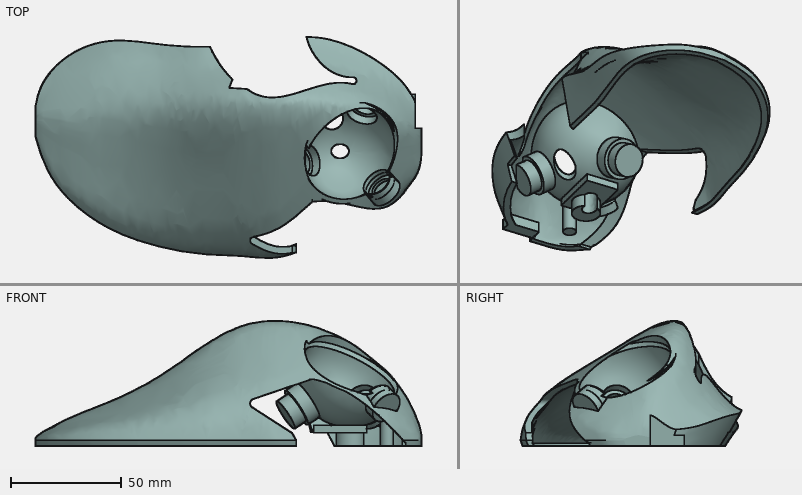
import cadquery as cq
import math

LENGTH = 175.3
WALL = 2.5
RIM_HEIGHT = 2.7
RIM_INSET = 1.0
CAVITY_RIM_HEIGHT = RIM_HEIGHT / 2
MIN_CAVITY_RISE = 1.0
MIN_THUMB_EDGE_Z = 0.8
THUMB_EDGE = 100.3
CLEARANCE = 20.0
BELOW_PART = -1.0
ABOVE_PART = 80.0

SECTIONS = [
    (0.0, 55.0, 62.0, 3.6, 69.0, 3.0, 0.5),
    (1.6, 49.5, 62.5, 5.4, 75.5, 3.0, 0.5),
    (6.0, 39.0, 63.0, 8.0, 83.5, 3.0, 0.5),
    (16.0, 26.0, 64.0, 13.0, 92.5, 4.5, 2.0),
    (35.0, 12.7, 67.0, 20.6, 98.7, 8.5, 6.0),
    (57.0, 5.0, 69.0, 31.8, 97.0, 13.5, 7.0),
    (78.0, 1.6, 71.0, 46.0, 96.0, 22.0, 6.0),
    (93.0, 0.9, 72.5, 53.7, 97.0, 22.0, 7.0),
    (111.0, 0.4, 73.0, 56.28, 99.2, 19.0, 8.5),
    (125.0, 5.0, 72.0, 54.3, 100.4, 16.0, 9.0),
    (145.0, 11.0, 69.0, 45.4, 95.2, 14.0, 7.0),
    (160.0, 21.0, 64.0, 33.3, 86.0, 11.0, 5.0),
    (170.5, 34.0, 59.0, 18.5, 74.5, 8.0, 3.0),
    (LENGTH, 47.0, 53.5, 5.0, 60.0, 4.0, 1.0),
]
ARM_TIP_X = 118.5

FLANK_POINTS = ((0.11, 0.33), (0.32, 0.555), (0.64, 0.82))
THUMB_MID_Y = 0.5
THUMB_MID_Z = 0.45

CUP_CENTRE = cq.Vector(142.7, 48.0, 33.5)
CUP_AXIS = cq.Vector(0.43, -0.30, 0.85)
BALL_RADIUS = 22.5
CUP_RADIUS = BALL_RADIUS + WALL
LIP_FLARE = 2.0
LIP_RISE = 2.5

SOCKET_ANGLES = (72, 192)
NOSE_SOCKET_ANGLE = 312
SOCKET_DROP = 33
SOCKET_RADIUS = 7.5
SOCKET_BORE = 5.0
SOCKET_COLLAR_RADIUS = 9.3
SOCKET_COLLAR_END = 29.5
SOCKET_END = 35.5
NOSE_SOCKET_END = 29.5
SOCKET_RECESS_RADIUS = 7.0
SOCKET_RECESS_DEPTH = 3.0

SENSOR_WINDOW = (8.0, 6.5)
SENSOR_XY = (138.3, 48.5)
FLANGE_SIZE = (24.0, 16.0)
FLANGE_BOTTOM = 6.0
FLANGE_TOP = 9.5
BOSS_XY = (142.5, 48.0)
BOSS_RADIUS = 6.5
SIDE_WINDOW_XY = (134.6, 63.4)
SIDE_WINDOW_RADIUS = 5.0

POST_XY = (159.5, 47.0)
POST_RADIUS = 3.0
POST_HEIGHT = 17.0

NOTCH_X = 172.5
NOTCH_Y = (59.0, 74.4)
CABLE_LEDGE_DEPTH = 6.0
CABLE_LEDGE_HEIGHT = 5.0


def section_wire(section, inset):
    x, outer_y, crest_y, crest_z, thumb_y, thumb_z, undercut = section
    x = inset + x * (LENGTH - 2 * inset) / LENGTH
    outer_y += inset
    thumb_y -= inset
    rise = max(crest_z - inset - RIM_HEIGHT, MIN_CAVITY_RISE)
    thumb_z = max(thumb_z - inset, MIN_THUMB_EDGE_Z)
    foot_z = CAVITY_RIM_HEIGHT if inset else RIM_HEIGHT
    crest_z = foot_z + rise
    crest_span = crest_y - outer_y
    flank = [(outer_y + across * crest_span, foot_z + up * rise) for across, up in FLANK_POINTS]
    thumb_mid = (
        crest_y + THUMB_MID_Y * (thumb_y - crest_y),
        thumb_z + THUMB_MID_Z * (crest_z - thumb_z),
    )
    curve = flank + [(crest_y, crest_z), thumb_mid, (thumb_y, thumb_z)]
    return (
        cq.Workplane("YZ", origin=(x, 0, 0))
        .moveTo(thumb_y - undercut, 0)
        .lineTo(outer_y + RIM_INSET, 0)
        .lineTo(outer_y, foot_z)
        .spline(curve, includeCurrent=True)
        .close()
        .val()
    )


def skin(inset):
    return cq.Workplane(cq.Solid.makeLoft([section_wire(s, inset) for s in SECTIONS]))


def outer_side_cutout():
    depth = CUP_CENTRE.y - 2
    return (
        cq.Workplane("XZ", origin=(0, depth, 0))
        .moveTo(ARM_TIP_X, BELOW_PART)
        .lineTo(ARM_TIP_X, RIM_HEIGHT)
        .lineTo(116.5, 6)
        .lineTo(98.7, 17.5)
        .threePointArc((97.5, 19.5), (98.7, 21.3))
        .lineTo(125.7, 30.5)
        .spline([(144.6, 22.6), (160.5, 9.4), (168, 1.5)], includeCurrent=True)
        .lineTo(168, BELOW_PART)
        .close()
        .extrude(depth + CLEARANCE)
    )


def thumb_side_cutout():
    outside = THUMB_EDGE + CLEARANCE
    return (
        cq.Workplane("XY")
        .moveTo(79.2, outside)
        .lineTo(79.2, 96)
        .spline([(84, 87.5), (89.5, 81)], includeCurrent=True)
        .lineTo(88, 77.3)
        .lineTo(96, 76.8)
        .spline([(106, 73), (125, 77), (144, 79)], includeCurrent=True)
        .threePointArc((145.7, 80.5), (144.5, 82))
        .spline([(134.6, 84.5), (126.7, 92), (123, THUMB_EDGE)], includeCurrent=True)
        .lineTo(123, outside)
        .close()
        .extrude(ABOVE_PART)
    )


def wing_relief():
    return (
        cq.Workplane("XZ", origin=(0, THUMB_EDGE + CLEARANCE, 0))
        .polyline([(118, BELOW_PART), (118, 6.5), (132.5, 6.2), (135.7, 0), (135.7, BELOW_PART)])
        .close()
        .extrude(THUMB_EDGE + CLEARANCE - CUP_CENTRE.y)
    )


def cup_body(radius):
    ball = cq.Workplane("XY").sphere(radius).translate(CUP_CENTRE)
    mouth = cq.Solid.makeCylinder(radius, CUP_RADIUS, CUP_CENTRE, CUP_AXIS)
    return ball.union(cq.Workplane(mouth))


def cup_outside(outer_skin):
    return cup_body(CUP_RADIUS).intersect(outer_skin)


def cup_inside():
    flare = cq.Solid.makeCone(
        BALL_RADIUS, BALL_RADIUS + LIP_FLARE, LIP_RISE, CUP_CENTRE, CUP_AXIS
    )
    return cup_body(BALL_RADIUS).union(cq.Workplane(flare))


def socket_cylinder(angle, radius, start, end):
    heading = math.radians(angle)
    drop = math.radians(SOCKET_DROP)
    direction = cq.Vector(
        math.cos(heading) * math.cos(drop), math.sin(heading) * math.cos(drop), -math.sin(drop)
    )
    base = CUP_CENTRE + direction * start
    return cq.Workplane(cq.Solid.makeCylinder(radius, end - start, base, direction))


def socket_body(angle, end):
    return socket_cylinder(angle, SOCKET_RADIUS, BALL_RADIUS - WALL, end)


def socket_collar(angle):
    return socket_cylinder(angle, SOCKET_COLLAR_RADIUS, BALL_RADIUS - WALL, SOCKET_COLLAR_END)


def socket_bore(angle, end):
    start = BALL_RADIUS - 2 * WALL
    recess_end = BALL_RADIUS + SOCKET_RECESS_DEPTH
    bore = socket_cylinder(angle, SOCKET_BORE, start, end - WALL)
    return bore.union(socket_cylinder(angle, SOCKET_RECESS_RADIUS, start, recess_end))


def socket_bodies():
    bodies = socket_body(NOSE_SOCKET_ANGLE, NOSE_SOCKET_END)
    for angle in SOCKET_ANGLES:
        bodies = bodies.union(socket_body(angle, SOCKET_END)).union(socket_collar(angle))
    return bodies


def socket_bores():
    bores = socket_bore(NOSE_SOCKET_ANGLE, NOSE_SOCKET_END)
    for angle in SOCKET_ANGLES:
        bores = bores.union(socket_bore(angle, SOCKET_END))
    return bores


def sensor_mount():
    flange = (
        cq.Workplane("XY", origin=(*SENSOR_XY, FLANGE_BOTTOM))
        .rect(*FLANGE_SIZE)
        .extrude(FLANGE_TOP - FLANGE_BOTTOM)
    )
    boss = cq.Workplane("XY").center(*BOSS_XY).circle(BOSS_RADIUS).extrude(FLANGE_TOP)
    return flange.union(boss)


def cup_windows():
    sensor = cq.Workplane("XY").center(*SENSOR_XY).ellipse(SENSOR_WINDOW[0] / 2, SENSOR_WINDOW[1] / 2)
    side = cq.Workplane("XY").center(*SIDE_WINDOW_XY).circle(SIDE_WINDOW_RADIUS)
    return sensor.extrude(CUP_CENTRE.z).union(side.extrude(CUP_CENTRE.z))


def support_post():
    return cq.Workplane("XY").center(*POST_XY).circle(POST_RADIUS).extrude(POST_HEIGHT)


def cable_block(x_start, x_end, height):
    near, far = NOTCH_Y
    return cq.Workplane("XY").box(x_end - x_start, far - near, height, centered=False).translate(
        (x_start, near, 0)
    )


outer_skin = skin(0)
result = (
    outer_skin.cut(skin(WALL))
    .cut(outer_side_cutout())
    .cut(thumb_side_cutout())
    .cut(wing_relief())
    .cut(cable_block(NOTCH_X, LENGTH + CLEARANCE, ABOVE_PART))
    .union(cable_block(NOTCH_X - CABLE_LEDGE_DEPTH, NOTCH_X, CABLE_LEDGE_HEIGHT))
    .union(cup_outside(outer_skin))
    .union(socket_bodies())
    .union(sensor_mount())
    .union(support_post())
    .cut(cup_inside())
    .cut(socket_bores())
    .cut(cup_windows())
)